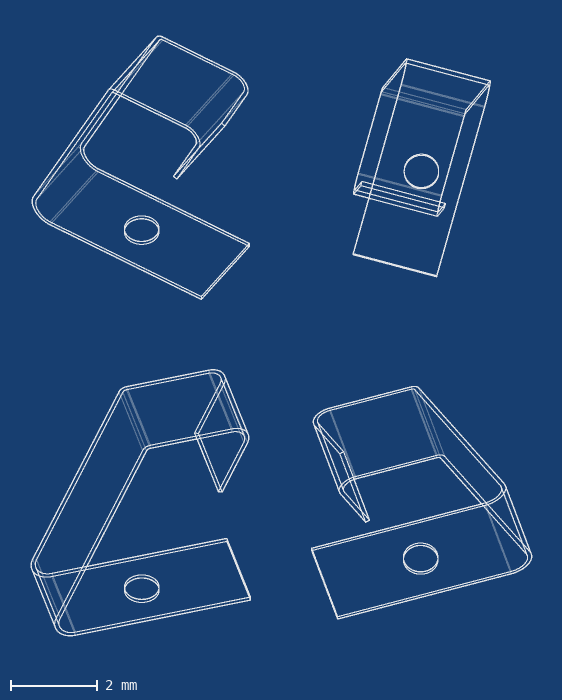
import cadquery as cq
import math

length = 4.7
width = 2.0
height = 5.7
thickness = 0.1

foot_bend_radius = 0.5
shoulder_bend_radius = 0.2
hook_bend_radius = 0.4

lean = math.radians(67.0)
top_flat_length = 1.97
tail_length = 1.57

hole_diameter = 0.8
hole_to_foot_end = 2.325

along = cq.Vector(math.cos(lean), math.sin(lean))
across = cq.Vector(-math.sin(lean), math.cos(lean))

foot_center = cq.Vector(foot_bend_radius, foot_bend_radius)
shoulder_z = height - shoulder_bend_radius
rise = shoulder_z - foot_center.y
run = (rise * across.y - (foot_bend_radius - shoulder_bend_radius)) / math.sin(lean)
shoulder_center = cq.Vector(foot_center.x + run, shoulder_z)
hook_center = cq.Vector(shoulder_center.x + top_flat_length, height - hook_bend_radius)


def on_bend(center, radius, angle):
    """Point on a bend at the given angle in radians."""
    return center + cq.Vector(math.cos(angle), math.sin(angle)) * radius


def strip_face(inset):
    """Points along one face of the strip, inset from the outer face."""
    foot_radius = foot_bend_radius - inset
    shoulder_radius = shoulder_bend_radius - inset
    hook_radius = hook_bend_radius - inset
    leg_side = lean + math.pi / 2
    tail_side = lean - math.pi / 2
    tail_start = on_bend(hook_center, hook_radius, tail_side)
    return [
        cq.Vector(length, inset),
        on_bend(foot_center, foot_radius, -math.pi / 2),
        on_bend(foot_center, foot_radius, (leg_side + 3 * math.pi / 2) / 2),
        on_bend(foot_center, foot_radius, leg_side),
        on_bend(shoulder_center, shoulder_radius, leg_side),
        on_bend(shoulder_center, shoulder_radius, (leg_side + math.pi / 2) / 2),
        on_bend(shoulder_center, shoulder_radius, math.pi / 2),
        on_bend(hook_center, hook_radius, math.pi / 2),
        on_bend(hook_center, hook_radius, (tail_side + math.pi / 2) / 2),
        tail_start,
        tail_start - along * tail_length,
    ]


def trace(outline, points):
    """Draw a strip face as straight runs joined by three bend arcs."""
    for first in (1, 4, 7):
        bend_start, bend_middle, bend_end = points[first:first + 3]
        outline = outline.lineTo(bend_start.x, bend_start.y)
        outline = outline.threePointArc(bend_middle.toTuple()[:2], bend_end.toTuple()[:2])
    return outline.lineTo(points[-1].x, points[-1].y)


outer_face = strip_face(0.0)
inner_face = strip_face(thickness)[::-1]
profile = cq.Workplane("XZ").moveTo(outer_face[0].x, outer_face[0].y)
profile = trace(profile, outer_face).lineTo(inner_face[0].x, inner_face[0].y)
profile = trace(profile, inner_face).close()
strip = profile.extrude(width / 2, both=True)

foot_hole = (
    cq.Workplane("XY")
    .center(length - hole_to_foot_end, 0)
    .circle(hole_diameter / 2)
    .extrude(thickness)
)

result = strip.cut(foot_hole)